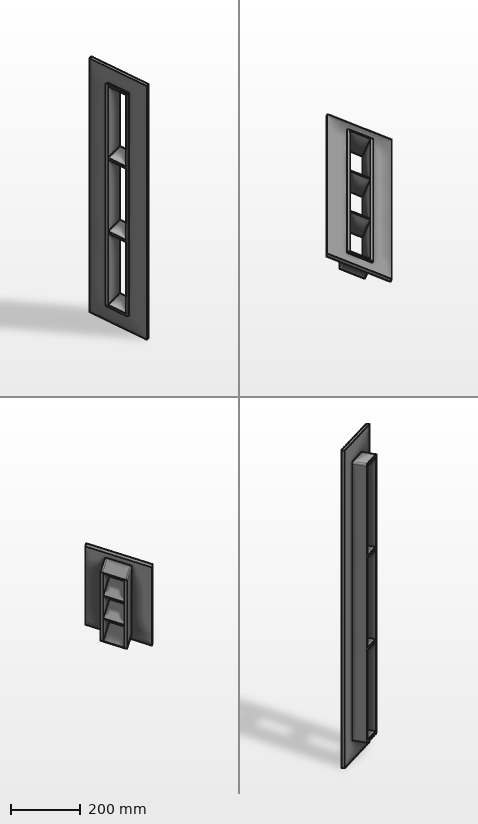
import cadquery as cq

plate_width = 201.0
plate_height = 994.0
plate_thickness = 10.0

frame_depth = 60.0
front_lip = 5.0
wall = 9.0
corner_radius = 6.0
window_count = 3
window_width = 63.0
window_height = 279.0
window_pitch = window_height + wall
frame_width = window_width + 2 * wall
frame_height = window_count * window_pitch + wall


def block(width, depth, height, front_y):
    """Box centred on X and Z whose front face lies at front_y."""
    return cq.Workplane("XY").box(width, depth, height).translate((0, front_y + depth / 2, 0))


plate = block(plate_width, plate_thickness, plate_height, 0)

frame = block(frame_width, frame_depth, frame_height, -front_lip).edges("|Y").fillet(corner_radius)
result = plate.union(frame)

for index in range(window_count):
    window_z = (index - (window_count - 1) / 2) * window_pitch
    window = block(window_width, frame_depth, window_height, -front_lip)
    result = result.cut(window.translate((0, 0, window_z)))